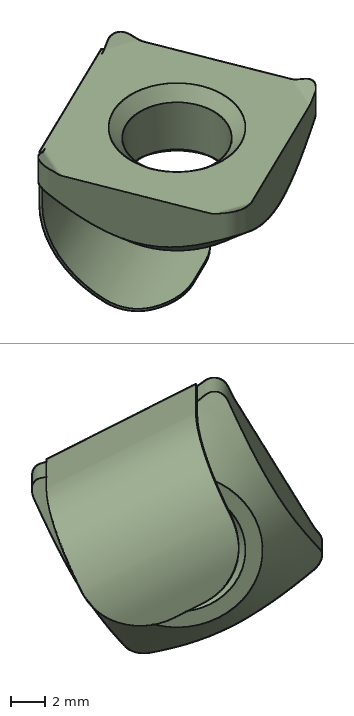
import cadquery as cq
import math

nut_side = 13.0
nut_height = 5.2
corner_radius = 1.0
bottom_face_diameter = 10.0

bore_diameter = 6.4
countersink_diameter = 8.0

tip_angle = math.radians(30)
crease_distance = 7.99
crease_radius = 0.5

strip_width = 10.0
strip_thickness = 0.2
strip_straight_length = 4.0
strip_bend_radius = 6.8
strip_end_x = 1.4
strip_end_radius = 4.0

half_side = nut_side / 2
corner_reach = half_side * math.sqrt(2)
column_height = 2 * nut_height


def make_corner_tip(direction):
    """Wedge rising outward along one diagonal, with a rounded crease at its foot."""
    tangent_length = crease_radius * math.tan(tip_angle / 2)
    start = crease_distance - tangent_length
    half_angle = tip_angle / 2
    arc_middle = (
        start + crease_radius * math.sin(half_angle),
        nut_height + crease_radius * (1 - math.cos(half_angle)),
    )
    arc_end = (
        start + crease_radius * math.sin(tip_angle),
        nut_height + crease_radius * (1 - math.cos(tip_angle)),
    )
    outer_height = nut_height + (corner_reach - crease_distance) * math.tan(tip_angle)
    wedge = (
        cq.Workplane("XZ")
        .moveTo(start, 0)
        .lineTo(start, nut_height)
        .threePointArc(arc_middle, arc_end)
        .lineTo(corner_reach, outer_height)
        .lineTo(corner_reach, 0)
        .close()
        .extrude(half_side, both=True)
    )
    return wedge.rotate((0, 0, 0), (0, 0, 1), direction)


def make_nut():
    plate = cq.Workplane("XY").rect(nut_side, nut_side).extrude(nut_height)
    for direction in (45, 135, 225, 315):
        plate = plate.union(make_corner_tip(direction))

    column = (
        cq.Workplane("XY")
        .rect(nut_side, nut_side)
        .extrude(column_height)
        .edges("|Z")
        .fillet(corner_radius)
    )

    bottom_radius = bottom_face_diameter / 2
    cone = cq.Workplane("XY").add(
        cq.Solid.makeCone(bottom_radius, bottom_radius + column_height, column_height)
    )
    return plate.intersect(column).intersect(cone)


def make_bore():
    bore_radius = bore_diameter / 2
    countersink_radius = countersink_diameter / 2
    countersink_depth = countersink_radius - bore_radius
    return (
        cq.Workplane("XZ")
        .moveTo(0, 0)
        .lineTo(countersink_radius, 0)
        .lineTo(bore_radius, countersink_depth)
        .lineTo(bore_radius, nut_height - countersink_depth)
        .lineTo(countersink_radius, nut_height)
        .lineTo(0, nut_height)
        .close()
        .revolve(360, (0, 0, 0), (0, 1, 0))
    )


def make_strip():
    """Strip running down the -X face, then curling under the nut."""
    outer_x = -half_side - strip_thickness
    bend_x = outer_x + strip_bend_radius
    bend_z = nut_height - strip_straight_length
    bottom_z = bend_z - strip_bend_radius
    inner_radius = strip_bend_radius - strip_thickness

    def bend_middle(radius):
        offset = radius * math.sqrt(0.5)
        return bend_x - offset, bend_z - offset

    strip = (
        cq.Workplane("XZ")
        .moveTo(outer_x, nut_height)
        .lineTo(outer_x, bend_z)
        .threePointArc(bend_middle(strip_bend_radius), (bend_x, bottom_z))
        .lineTo(strip_end_x, bottom_z)
        .lineTo(strip_end_x, bottom_z + strip_thickness)
        .lineTo(bend_x, bottom_z + strip_thickness)
        .threePointArc(bend_middle(inner_radius), (-half_side, bend_z))
        .lineTo(-half_side, nut_height)
        .close()
        .extrude(strip_width / 2, both=True)
    )

    length = strip_end_x - outer_x
    outline = (
        cq.Workplane("XY", origin=(outer_x + length / 2, 0, bottom_z))
        .rect(length, strip_width)
        .extrude(nut_height - bottom_z)
        .edges("|Z and >X")
        .fillet(strip_end_radius)
    )
    return strip.intersect(outline)


result = make_nut().cut(make_bore()).union(make_strip())